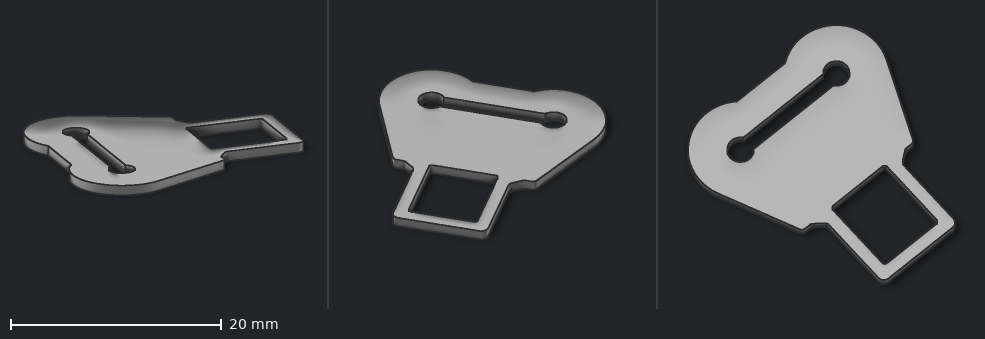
import cadquery as cq
import math

thickness = 1.0
total_length = 24.2
lobe_radius = 4.99
lobe_offset = 6.0
bottom_edge_y = -4.0

shoulder_half_width = 6.97
shoulder_y = 10.16
ramp_foot_x = 5.88
ramp_top_y = 11.08
head_half_width = 4.7
head_top_y = total_length - lobe_radius
head_corner_radius = 0.7
shoulder_radius = 0.5
ramp_radius = 0.5

rim_width = 1.3
window_height = 7.8
window_corner_radius = 0.3
slot_width = 1.5
slot_hole_radius = 1.25


def lobe_tangent_point():
    """Point where the line from the right shoulder corner touches the right lobe."""
    dx = shoulder_half_width - lobe_offset
    distance = math.hypot(dx, shoulder_y)
    angle = math.atan2(shoulder_y, dx) - math.acos(lobe_radius / distance)
    return lobe_offset + lobe_radius * math.cos(angle), lobe_radius * math.sin(angle)


def mirrored(point):
    return -point[0], point[1]


def round_corners(body, corners, radius):
    """Round the upright edges at the given corners and their mirror images."""
    for corner in corners + [mirrored(c) for c in corners]:
        edge = cq.selectors.NearestToPointSelector((*corner, thickness / 2))
        body = body.edges("|Z").edges(edge).fillet(radius)
    return body


def make_plate():
    tangent = lobe_tangent_point()
    lobe_bottom = (lobe_offset, -lobe_radius)
    lobe_end = (lobe_offset - math.sqrt(lobe_radius**2 - bottom_edge_y**2), bottom_edge_y)
    shoulder = (shoulder_half_width, shoulder_y)
    ramp_foot = (ramp_foot_x, shoulder_y)
    ramp_top = (head_half_width, ramp_top_y)
    head_corner = (head_half_width, head_top_y)

    plate = (
        cq.Workplane("XY")
        .moveTo(*lobe_end)
        .threePointArc(lobe_bottom, tangent)
        .lineTo(*shoulder)
        .lineTo(*ramp_foot)
        .lineTo(*ramp_top)
        .lineTo(*head_corner)
        .lineTo(*mirrored(head_corner))
        .lineTo(*mirrored(ramp_top))
        .lineTo(*mirrored(ramp_foot))
        .lineTo(*mirrored(shoulder))
        .lineTo(*mirrored(tangent))
        .threePointArc(mirrored(lobe_bottom), mirrored(lobe_end))
        .close()
        .extrude(thickness)
    )
    plate = round_corners(plate, [head_corner], head_corner_radius)
    plate = round_corners(plate, [shoulder], shoulder_radius)
    return round_corners(plate, [ramp_foot, ramp_top], ramp_radius)


def make_window():
    window_y = head_top_y - rim_width - window_height / 2
    return (
        cq.Workplane("XY")
        .center(0, window_y)
        .rect(2 * (head_half_width - rim_width), window_height)
        .extrude(thickness)
        .edges("|Z")
        .fillet(window_corner_radius)
    )


def make_slot():
    """Straight slot ending in a round hole at each lobe centre."""
    holes = (
        cq.Workplane("XY")
        .pushPoints([(-lobe_offset, 0), (lobe_offset, 0)])
        .circle(slot_hole_radius)
        .extrude(thickness)
    )
    return holes.union(cq.Workplane("XY").rect(2 * lobe_offset, slot_width).extrude(thickness))


result = make_plate().cut(make_window()).cut(make_slot())